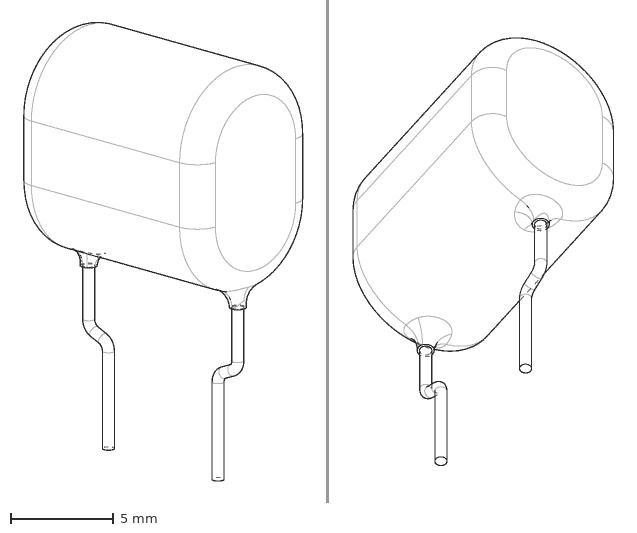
import cadquery as cq
import math

overall_height = 21.4
body_length = 12.6
body_thickness = 8.1
body_height = 11.4
body_edge_radius = 1.25

lead_diameter = 0.6
upper_lead_offset = 5.1
lower_lead_offset = 3.75
lower_bend_end = 4.99
bend_radius = 0.6
bend_angle = 68.0

collar_diameter = 0.83
collar_bottom = 9.07
collar_fillet = 1.07

body_bottom = overall_height - body_height
body_middle = body_bottom + body_height / 2
collar_top = body_bottom + body_thickness / 2
jog_drop = (upper_lead_offset - lower_lead_offset) / math.tan(math.radians(bend_angle))
bend_tangent = bend_radius * math.tan(math.radians(bend_angle / 2))
lower_corner = lower_bend_end + bend_tangent
upper_corner = lower_corner + jog_drop
upper_bend_start = upper_corner + bend_tangent

sides = (-1, 1)


def make_body():
    """Stadium-section body with rounded ends and a flared collar at each lead."""
    body = (
        cq.Workplane("YZ")
        .center(0, body_middle)
        .slot2D(body_height, body_thickness, 90)
        .extrude(body_length / 2, both=True)
        .faces("<X or >X")
        .edges()
        .fillet(body_edge_radius)
    )
    for side in sides:
        collar = (
            cq.Workplane("XY", origin=(side * upper_lead_offset, 0, collar_bottom))
            .circle(collar_diameter / 2)
            .extrude(collar_top - collar_bottom)
        )
        body = body.union(collar)
    return body.edges(collar_joint_selector()).fillet(collar_fillet).solids()


def collar_joint_selector():
    """Select the edges where the collars meet the underside of the body."""
    reach = collar_diameter
    selector = None
    for side in sides:
        centre = side * upper_lead_offset
        box = cq.selectors.BoxSelector(
            (centre - reach, -reach, (collar_bottom + body_bottom) / 2),
            (centre + reach, reach, body_bottom + reach),
            boundingbox=True,
        )
        selector = box if selector is None else selector + box
    return selector


def make_lead(side):
    """Round wire that jogs inwards below the collar; side is -1 or 1."""
    upper_x = side * upper_lead_offset
    lower_x = side * lower_lead_offset
    bend_shift = bend_radius * (1 - math.cos(math.radians(bend_angle)))
    bend_height = bend_radius * math.sin(math.radians(bend_angle))
    path = (
        cq.Workplane("XZ")
        .moveTo(lower_x, 0)
        .lineTo(lower_x, lower_bend_end)
        .tangentArcPoint((lower_x + side * bend_shift, lower_bend_end + bend_height), relative=False)
        .lineTo(upper_x - side * bend_shift, upper_bend_start - bend_height)
        .tangentArcPoint((upper_x, upper_bend_start), relative=False)
        .lineTo(upper_x, collar_bottom)
    )
    return cq.Workplane("XY", origin=(lower_x, 0, 0)).circle(lead_diameter / 2).sweep(path)


body = make_body()
leads = [make_lead(side) for side in sides]

result = cq.Compound.makeCompound([body.val(), *[lead.val() for lead in leads]])